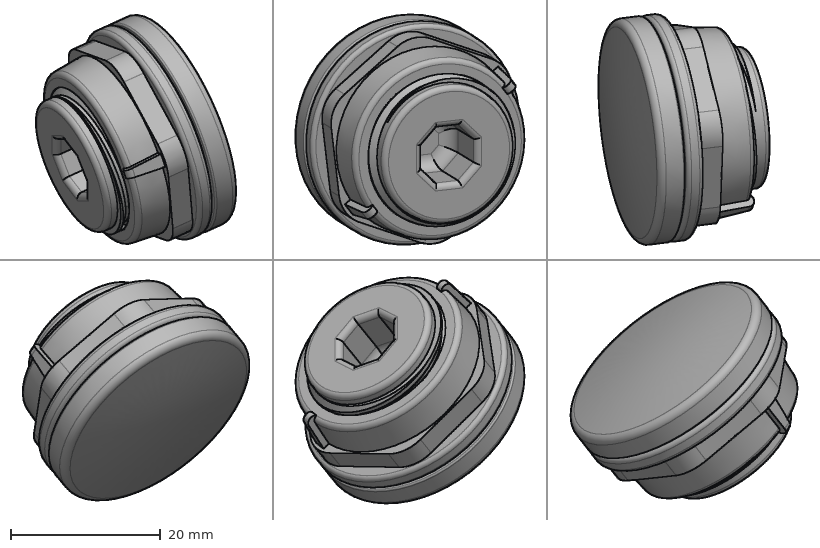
import cadquery as cq
import math


head_radius = 15.25
dome_top = 9.15
dome_edge = 8.05
rim_round = 1.0
head_under = 4.35
head_edge_round = 0.25
stem_radius = 9.555
stem_end = -9.15
stem_end_round = 0.75

socket_flats = 7.77
socket_sides = 8
socket_depth = 7.92
socket_floor_round = 1.98
socket_mouth_round = 0.85

thread_pitch = 3.0
crest_width = 0.7
thread_turns = 5
thread_root_overlap = 0.1
stem_crest_radius = 10.41
stem_flank = 0.85
stem_thread_end = -7.4
stem_crest_y = -7.38
thread_core_radius = 0.3

seal_radius = 14.2
seal_bore_radius = 11.58

flange_top = 4.1
flange_bottom = 1.77
flange_round = 0.6
hex_sides = 6
hex_bottom = -1.28
hex_apothem = 13.2
hex_corner_radius = 4.88
hex_turn = 6.8
hex_half_step = 180.0 / hex_sides
skirt_top_radius = 12.95
skirt_end_radius = 12.5
skirt_end = -6.13
skirt_end_round = 0.75
nut_bore_radius = 10.42

rib_count = 2
rib_angle = hex_turn + hex_half_step
rib_top_radius = 13.9
rib_tip_radius = 13.47
rib_end_round = 0.9
rib_end = -6.55
rib_top_width = 1.92
rib_end_width = 1.15


def along_axis(shape):
    """Turn a shape built along +Z so that it runs along -Y."""
    return shape.rotate((0, 0, 0), (1, 0, 0), 90)


def tube(inner_radius, outer_radius, top, bottom):
    """Cylindrical sleeve about Y."""
    ring = cq.Workplane("XZ", origin=(0, top, 0)).circle(outer_radius).circle(inner_radius)
    return ring.extrude(top - bottom)


def make_thread():
    """Helical ridge on the stem, cut off square at its lower end."""
    start = -stem_crest_y - (thread_turns - 1) * thread_pitch
    root_radius = stem_radius - thread_root_overlap
    slope = stem_flank / (stem_crest_radius - stem_radius)
    half_crest = crest_width / 2
    half_root = half_crest + stem_flank + slope * thread_root_overlap
    section = cq.Workplane("XZ").polyline([
        (root_radius, start - half_root),
        (stem_crest_radius, start - half_crest),
        (stem_crest_radius, start + half_crest),
        (root_radius, start + half_root),
    ]).close()
    helix = cq.Wire.makeHelix(
        thread_pitch, thread_turns * thread_pitch, stem_radius, cq.Vector(0, 0, start)
    )
    ridge = along_axis(section.sweep(cq.Workplane(obj=helix), isFrenet=True))
    return ridge.intersect(tube(thread_core_radius, head_radius, flange_top, stem_thread_end))


def socket_cutter():
    """Octagonal recess with a rounded floor edge."""
    half_step = 180.0 / socket_sides
    corner_diameter = socket_flats / math.cos(math.radians(half_step))
    recess = (
        cq.Workplane("XY").polygon(socket_sides, corner_diameter).extrude(socket_depth)
        .rotate((0, 0, 0), (0, 0, 1), half_step)
        .faces(">Z").edges().fillet(socket_floor_round)
    )
    return recess.rotate((0, 0, 0), (1, 0, 0), -90).translate((0, stem_end, 0))


def make_screw_cap():
    dome_radius = head_radius - rim_round
    dome_height = dome_top - dome_edge
    sphere_radius = (dome_radius**2 + dome_height**2) / (2 * dome_height)
    mid_radius = dome_radius / 2
    mid_dome = dome_top - sphere_radius + math.sqrt(sphere_radius**2 - mid_radius**2)
    diagonal = math.sqrt(0.5)
    cap = (
        cq.Workplane("XY").moveTo(0, dome_top)
        .threePointArc((mid_radius, mid_dome), (dome_radius, dome_edge))
        .threePointArc(
            (dome_radius + rim_round * diagonal, dome_edge - rim_round * (1 - diagonal)),
            (head_radius, dome_edge - rim_round),
        )
        .lineTo(head_radius, head_under)
        .lineTo(stem_radius, head_under)
        .lineTo(stem_radius, stem_end)
        .lineTo(0, stem_end)
        .close()
        .revolve(360, (0, 0, 0), (0, 1, 0))
    )
    reach = head_radius + 0.3
    under_edges = cq.selectors.BoxSelector(
        (-reach, head_under - 0.03, -reach), (reach, head_under + 0.03, reach), boundingbox=True
    )
    outermost = cq.selectors.RadiusNthSelector(-1)
    cap = cap.edges(under_edges).edges(outermost).fillet(head_edge_round)
    cap = cap.faces("<Y").edges().fillet(stem_end_round)
    cap = cap.cut(socket_cutter())
    cap = cap.faces("<Y").edges("%LINE").fillet(socket_mouth_round)
    return cap.union(make_thread())


def make_seal():
    return tube(seal_bore_radius, seal_radius, head_under, flange_top)


def make_flange():
    flange = tube(nut_bore_radius, head_radius, flange_top, flange_bottom)
    return flange.edges(cq.selectors.RadiusNthSelector(-1)).fillet(flange_round)


def make_hexagon():
    corner_diameter = 2 * hex_apothem / math.cos(math.radians(hex_half_step))
    prism = (
        cq.Workplane("XY").polygon(hex_sides, corner_diameter).extrude(flange_bottom - hex_bottom)
        .edges("|Z").fillet(hex_corner_radius)
        .rotate((0, 0, 0), (0, 0, 1), hex_turn + hex_half_step)
    )
    return along_axis(prism).translate((0, flange_bottom, 0))


def make_skirt():
    skirt = (
        cq.Workplane("XY")
        .polyline([
            (0, hex_bottom),
            (skirt_top_radius, hex_bottom),
            (skirt_end_radius, skirt_end),
            (0, skirt_end),
        ])
        .close()
        .revolve(360, (0, 0, 0), (0, 1, 0))
    )
    return skirt.faces("<Y").edges().fillet(skirt_end_round)


def make_rib(angle):
    """Rib with a half-round end; its sides draw together towards the end."""
    round_center = rib_tip_radius - rib_end_round
    round_start = rib_end + rib_end_round
    profile = (
        cq.Workplane("XY")
        .moveTo(round_center - rib_end_round, hex_bottom)
        .lineTo(rib_top_radius, hex_bottom)
        .lineTo(rib_tip_radius, round_start)
        .threePointArc((round_center, rib_end), (round_center - rib_end_round, round_start))
        .close()
        .extrude(rib_top_width, both=True)
    )
    taper = (
        cq.Workplane("YZ")
        .polyline([
            (hex_bottom, -rib_top_width / 2),
            (hex_bottom, rib_top_width / 2),
            (rib_end, rib_end_width / 2),
            (rib_end, -rib_end_width / 2),
        ])
        .close()
        .extrude(head_radius)
    )
    return profile.intersect(taper).rotate((0, 0, 0), (0, 1, 0), -angle)


def make_nut():
    nut = make_hexagon().union(make_skirt())
    for index in range(rib_count):
        nut = nut.union(make_rib(rib_angle + index * 360 / rib_count))
    bore = cq.Workplane("XZ", origin=(0, flange_top, 0)).circle(nut_bore_radius)
    nut = nut.cut(bore.extrude(flange_top - skirt_end))
    return nut.union(make_flange())


screw_cap = make_screw_cap()
seal = make_seal()
nut = make_nut()

result = cq.Compound.makeCompound([screw_cap.val(), seal.val(), nut.val()])